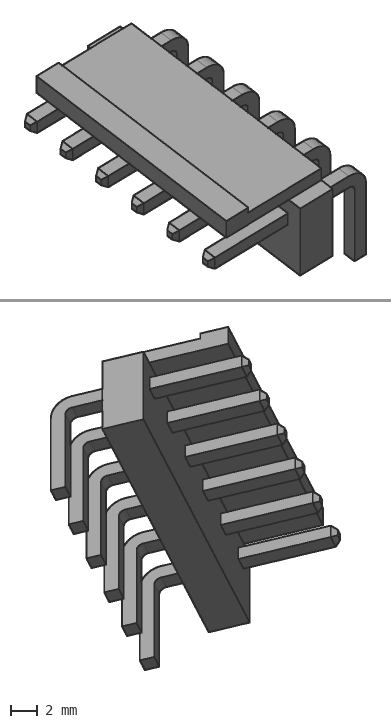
import cadquery as cq

pin_count = 6
pin_pitch = 3.9624

pin_size = 1.15
bend_outer_radius = 1.7
bend_inner_radius = bend_outer_radius - pin_size
tip_length = 0.45
tip_inset = pin_size / 4
pin_center_below_block_top = 2.0

block_width = 23.7
block_depth = 3.23
block_height = 6.8
leg_below_block = 3.6

plate_width = 21.15
plate_length = 9.44
plate_thickness = 1.2
lip_length = 2.2
lip_height = 0.5

pin_front_reach = 7.7
pin_rear_reach = 4.54

block_top = leg_below_block + block_height
plate_top = block_top + plate_thickness
lip_top = plate_top + lip_height
plate_front = -plate_length
pin_tip = -(block_depth + pin_front_reach)
taper_start = pin_tip + tip_length
pin_center_z = block_top - pin_center_below_block_top
pin_top = pin_center_z + pin_size / 2
pin_bottom = pin_center_z - pin_size / 2
leg_outer = pin_rear_reach
leg_inner = leg_outer - pin_size


def extrude_across(profile, width):
    """Extrude a YZ profile along X, centred on X = 0."""
    return profile.extrude(width / 2, both=True)


def make_block():
    return cq.Workplane("XY").box(
        block_width, block_depth, block_height, centered=(True, False, False)
    ).translate((0, -block_depth, leg_below_block))


def make_plate():
    """Flat plate overhanging the pins, with a raised lip along its front edge."""
    profile = (
        cq.Workplane("YZ")
        .moveTo(0, block_top)
        .lineTo(0, plate_top)
        .lineTo(plate_front + lip_length, plate_top)
        .lineTo(plate_front + lip_length, lip_top)
        .lineTo(plate_front, lip_top)
        .lineTo(plate_front, block_top)
        .close()
    )
    return extrude_across(profile, plate_width)


def make_pin_shaft():
    """Square pin with a rounded right-angle bend, up to the start of its taper."""
    profile = (
        cq.Workplane("YZ")
        .moveTo(taper_start, pin_bottom)
        .lineTo(taper_start, pin_top)
        .lineTo(leg_outer - bend_outer_radius, pin_top)
        .radiusArc((leg_outer, pin_top - bend_outer_radius), bend_outer_radius)
        .lineTo(leg_outer, 0)
        .lineTo(leg_inner, 0)
        .lineTo(leg_inner, pin_bottom - bend_inner_radius)
        .radiusArc((leg_inner - bend_inner_radius, pin_bottom), -bend_inner_radius)
        .close()
    )
    return extrude_across(profile, pin_size)


def make_pin_tip():
    """Square frustum narrowing toward -Y."""
    tip_size = pin_size - 2 * tip_inset
    return (
        cq.Workplane("XZ", origin=(0, taper_start, pin_center_z))
        .rect(pin_size, pin_size)
        .workplane(offset=tip_length)
        .rect(tip_size, tip_size)
        .loft(ruled=True)
    )


result = make_block().union(make_plate())
pin = make_pin_shaft().union(make_pin_tip())
for index in range(pin_count):
    pin_x = (index - (pin_count - 1) / 2) * pin_pitch
    result = result.union(pin.translate((pin_x, 0, 0)))